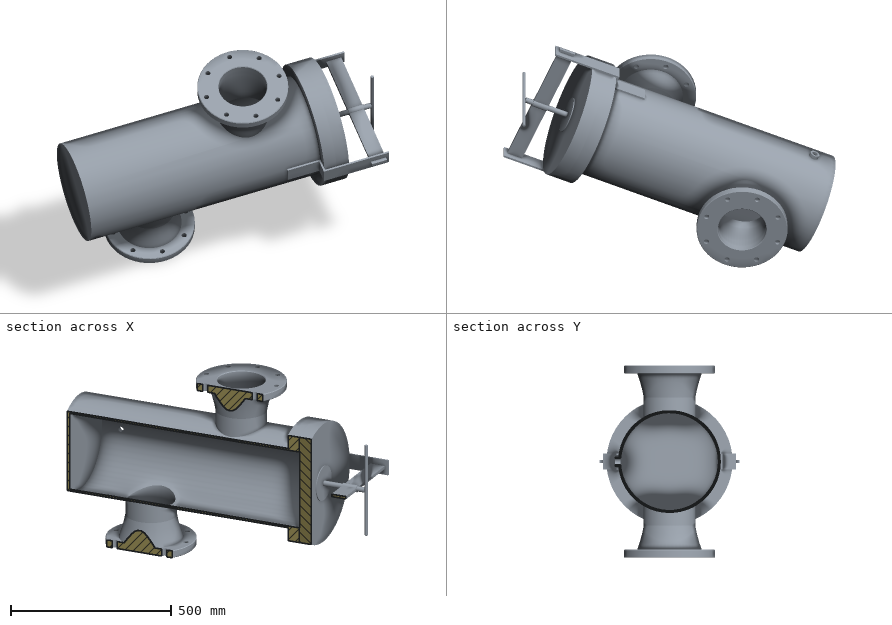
import cadquery as cq

drum_length = 800.0
drum_radius = 158.7
wall = 6.0
end_plate = 10.0

rim_radius = 197.0
rim_thickness = 40.0
cover_thickness = 42.0
pad_radius = 56.2
pad_thickness = 3.0

nozzle_reach = 300.0
upper_nozzle_y = 560.0
lower_nozzle_y = 250.0
neck_radius = 81.0
neck_top = 200.0
flare_radius = 101.0
flare_bulge = 2.0
bore_radius = 76.0
nozzle_flange_radius = 142.0
nozzle_flange_thickness = 25.0
edge_chamfer = 2.0
bolt_count = 8
bolt_circle_radius = 120.0
bolt_hole_radius = 8.0

bracket_width = 50.0
bracket_thickness = 6.0
foot_gap = 1.0
bracket_outer_x = 208.0
bracket_start_y = 650.0
bracket_end_y = 971.0

bar_length = 437.0
bar_width = 50.0
bar_thickness = 10.0
bar_y = 935.0
boss_radius = 11.4

screw_radius = 8.5
handle_length = 302.0
handle_radius = 5.0
handle_chamfer = 1.0
overall_length = 995.0

socket_y = 75.0
socket_radius = 15.0
socket_bore_radius = 9.0
socket_reach = 170.0

joint_y = drum_length
rim_start_y = drum_length - rim_thickness
cover_top_y = joint_y + cover_thickness
pad_top_y = cover_top_y + pad_thickness
screw_end_y = overall_length - 2 * handle_radius
inner_radius = drum_radius - wall


def rod_y(radius, start, end):
    """Cylinder on the drum axis between two Y positions."""
    return cq.Workplane("XZ", origin=(0, start, 0)).circle(radius).extrude(start - end)


def make_nozzle():
    """Upward nozzle on the Z axis, starting at the drum axis and still without its bore."""
    flange_back = nozzle_reach - nozzle_flange_thickness
    bulge_radius = (neck_radius + flare_radius) / 2 - flare_bulge
    bulge_z = (neck_top + flange_back) / 2
    return (
        cq.Workplane("XZ")
        .lineTo(neck_radius, 0)
        .lineTo(neck_radius, neck_top)
        .threePointArc((bulge_radius, bulge_z), (flare_radius, flange_back))
        .lineTo(nozzle_flange_radius - edge_chamfer, flange_back)
        .lineTo(nozzle_flange_radius, flange_back + edge_chamfer)
        .lineTo(nozzle_flange_radius, nozzle_reach - edge_chamfer)
        .lineTo(nozzle_flange_radius - edge_chamfer, nozzle_reach)
        .lineTo(0, nozzle_reach)
        .close()
        .revolve(360, (0, 0), (0, 1))
    )


def make_nozzle_openings():
    """Bore with a chamfered mouth, and the ring of bolt holes."""
    bore = (
        cq.Workplane("XZ")
        .lineTo(bore_radius, 0)
        .lineTo(bore_radius, nozzle_reach - edge_chamfer)
        .lineTo(bore_radius + edge_chamfer, nozzle_reach)
        .lineTo(0, nozzle_reach)
        .close()
        .revolve(360, (0, 0), (0, 1))
    )
    bolt_holes = (
        cq.Workplane("XY", origin=(0, 0, nozzle_reach))
        .polarArray(bolt_circle_radius, 0, 360, bolt_count)
        .circle(bolt_hole_radius)
        .extrude(-nozzle_flange_thickness)
    )
    return bore.union(bolt_holes)


def place_nozzle(shape, y, points_down):
    """Move a nozzle shape along the drum, turned over for the lower side."""
    turned = shape.rotate((0, 0, 0), (0, 1, 0), 180) if points_down else shape
    return turned.translate((0, y, 0))


def make_socket_outline(radius):
    """Cylinder along X that runs from the socket mouth in to the drum axis."""
    return cq.Workplane("YZ", origin=(-socket_reach, socket_y, 0)).circle(radius).extrude(socket_reach)


def make_housing():
    """Drum with its rim and both nozzles, hollow and pierced for the drain socket."""
    housing = rod_y(drum_radius, 0, drum_length).union(rod_y(rim_radius, rim_start_y, joint_y))
    cavity = rod_y(inner_radius, end_plate, joint_y)
    for y, points_down in ((upper_nozzle_y, False), (lower_nozzle_y, True)):
        housing = housing.union(place_nozzle(make_nozzle(), y, points_down))
        cavity = cavity.union(place_nozzle(make_nozzle_openings(), y, points_down))
    return housing.cut(cavity).cut(make_socket_outline(socket_radius))


def make_cover():
    """Cover disc with a thin pad under the screw."""
    return rod_y(rim_radius, joint_y, cover_top_y).union(rod_y(pad_radius, cover_top_y, pad_top_y))


def make_plain_bar():
    """Crossbar without its boss; it also shapes the bracket slots."""
    return cq.Workplane("XY", origin=(0, bar_y, 0)).box(bar_length, bar_width, bar_thickness)


def make_crossbar():
    """Bar with a central boss that the screw passes through."""
    boss = rod_y(boss_radius, bar_y - bar_width / 2, bar_y + bar_width / 2)
    return make_plain_bar().union(boss).cut(make_screw())


def make_bracket(side):
    """Cranked strip: along the drum, out under the rim, then past the cover; slotted for the bar."""
    foot_inner_x = drum_radius + foot_gap
    foot_outer_x = foot_inner_x + bracket_thickness
    arm_inner_x = bracket_outer_x - bracket_thickness
    step_y = rim_start_y - bracket_thickness
    outline = [
        (foot_inner_x, bracket_start_y),
        (foot_outer_x, bracket_start_y),
        (foot_outer_x, step_y),
        (bracket_outer_x, step_y),
        (bracket_outer_x, bracket_end_y),
        (arm_inner_x, bracket_end_y),
        (arm_inner_x, rim_start_y),
        (foot_inner_x, rim_start_y),
    ]
    strip = (
        cq.Workplane("XY")
        .polyline([(side * x, y) for x, y in outline])
        .close()
        .extrude(bracket_width / 2, both=True)
    )
    return strip.cut(make_plain_bar())


def make_screw():
    return rod_y(screw_radius, pad_top_y, screw_end_y)


def make_handle():
    return (
        cq.Workplane("XY", origin=(0, overall_length - handle_radius, -handle_length / 2))
        .circle(handle_radius)
        .extrude(handle_length)
        .faces("<Z or >Z")
        .chamfer(handle_chamfer)
    )


def make_drain_socket():
    """Short tube fitted in the drum wall, flush with the inside of the drum."""
    socket = make_socket_outline(socket_radius).cut(make_socket_outline(socket_bore_radius))
    return socket.cut(rod_y(inner_radius, end_plate, joint_y))


housing = make_housing()
cover = make_cover()
brackets = [make_bracket(side) for side in (-1, 1)]
crossbar = make_crossbar()
screw = make_screw()
handle = make_handle()
drain_socket = make_drain_socket()

result = cq.Compound.makeCompound(
    [
        housing.val(),
        cover.val(),
        *[bracket.val() for bracket in brackets],
        crossbar.val(),
        screw.val(),
        handle.val(),
        drain_socket.val(),
    ]
)